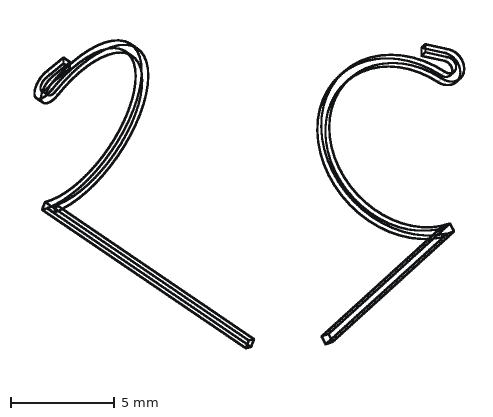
import cadquery as cq
import math

wire = 0.44
leg_length = 13.37
loop_outer_radius = 4.79
hook_outer_radius = 0.87
hook_offset = 2.07
hook_tail = 1.23
leg_angle = -120.0

loop_inner_radius = loop_outer_radius - wire
hook_inner_radius = hook_outer_radius - wire

centre_distance = loop_outer_radius + hook_inner_radius
hook_y = -hook_offset
hook_z = math.sqrt(centre_distance**2 - hook_offset**2)
joint_angle = math.degrees(math.atan2(hook_z, hook_y))
hook_start_angle = joint_angle - 180
hook_middle_angle = (hook_start_angle - 270) / 2


def polar(radius, angle, centre=(0, 0)):
    """Point in the YZ plane at a radius and angle (degrees) about a centre."""
    turn = math.radians(angle)
    return (centre[0] + radius * math.cos(turn), centre[1] + radius * math.sin(turn))


def bent_loop():
    """Loop, hook and hook tail as one flat strip, one wire thick."""
    hook_centre = (hook_y, hook_z)
    tail_y = hook_y + hook_tail
    loop_middle_angle = (leg_angle + joint_angle) / 2
    return (
        cq.Workplane("YZ")
        .moveTo(*polar(loop_outer_radius, leg_angle))
        .threePointArc(
            polar(loop_outer_radius, loop_middle_angle),
            polar(loop_outer_radius, joint_angle),
        )
        .threePointArc(
            polar(hook_inner_radius, hook_middle_angle, hook_centre),
            (hook_y, hook_z + hook_inner_radius),
        )
        .lineTo(tail_y, hook_z + hook_inner_radius)
        .lineTo(tail_y, hook_z + hook_outer_radius)
        .lineTo(hook_y, hook_z + hook_outer_radius)
        .threePointArc(
            polar(hook_outer_radius, hook_middle_angle, hook_centre),
            polar(hook_outer_radius, hook_start_angle, hook_centre),
        )
        .threePointArc(
            polar(loop_inner_radius, loop_middle_angle),
            polar(loop_inner_radius, leg_angle),
        )
        .close()
        .extrude(wire)
    )


def straight_leg():
    """Square bar along X, flush with the lower end face of the loop."""
    return (
        cq.Workplane("YZ")
        .rect(wire, wire)
        .extrude(leg_length)
        .translate((0, loop_outer_radius - wire / 2, wire / 2))
        .rotate((0, 0, 0), (1, 0, 0), leg_angle)
    )


result = bent_loop().union(straight_leg())